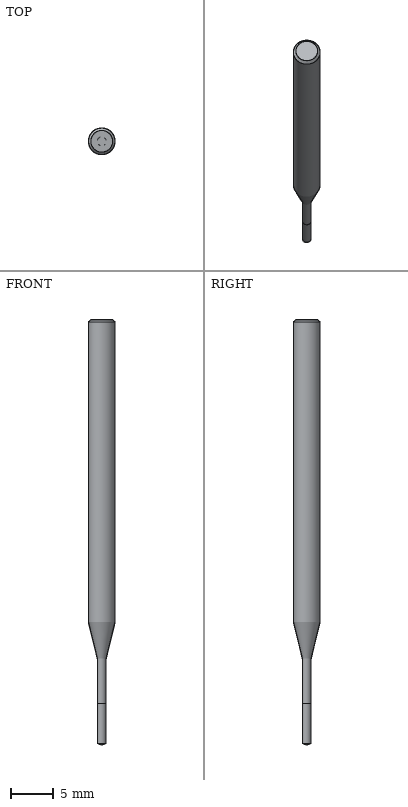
import cadquery as cq

total_length = 50.2
shank_diameter = 3.15
drill_diameter = 1.05
point_height = 0.2
cutting_length = 4.9
neck_end_height = 10.2
taper_end_height = 14.5
shank_chamfer_height = 0.3
shank_chamfer_width = 0.3

shank_radius = shank_diameter / 2
drill_radius = drill_diameter / 2


def revolve_profile(points):
    """Turn a closed (radius, height) outline around the Z axis."""
    return cq.Workplane("XZ").polyline(points).close().revolve(360, (0, 0, 0), (0, 1, 0))


def make_cutting_end():
    """Cylindrical cutting end with a conical drill point."""
    return revolve_profile([
        (0, 0),
        (drill_radius, point_height),
        (drill_radius, cutting_length),
        (0, cutting_length),
    ])


def make_shank():
    """Neck, taper and chamfered shank, standing on the cutting end."""
    return revolve_profile([
        (0, cutting_length),
        (drill_radius, cutting_length),
        (drill_radius, neck_end_height),
        (shank_radius, taper_end_height),
        (shank_radius, total_length - shank_chamfer_height),
        (shank_radius - shank_chamfer_width, total_length),
        (0, total_length),
    ])


cutting_end = make_cutting_end()
shank = make_shank()

result = cq.Compound.makeCompound([cutting_end.val(), shank.val()])